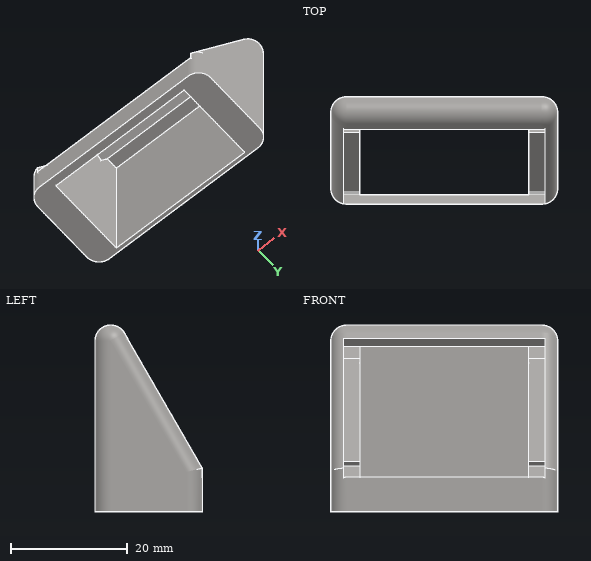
import cadquery as cq
import math

width = 39.0
depth = 18.5
height = 32.1
edge_radius = 2.73
slope_angle = 60.0

cavity_width = 28.95
front_wall = 1.65
back_wall = 0.8

window_width = 34.6
window_bottom = -1.35
window_top = 25.65
rail_bottom = 2.0
rail_top = 22.42
rail_depth = 1.3
window_depth = 2.8
outside_clearance = 7.8

slope = math.radians(slope_angle)
ridge_y = depth - edge_radius
ridge_z = height - edge_radius
tangent_y = ridge_y - edge_radius * math.sin(slope)
tangent_z = ridge_z + edge_radius * math.cos(slope)
front_height = tangent_z - tangent_y * math.tan(slope)
apex_z = front_height + depth * math.tan(slope)


def slope_point(along, inward):
    """Return (y, z) for a distance up the slope and a depth below it."""
    y = along * math.cos(slope) + inward * math.sin(slope)
    z = front_height + along * math.sin(slope) - inward * math.cos(slope)
    return y, z


def side_prism(points, prism_width):
    """Extrude a (y, z) outline symmetrically across the width."""
    return cq.Workplane("YZ").polyline(points).close().extrude(prism_width / 2, both=True)


def window_block(bottom, top, floor_depth):
    """Box aligned with the sloping face and reaching outside the part."""
    corners = [
        slope_point(bottom, -outside_clearance),
        slope_point(top, -outside_clearance),
        slope_point(top, floor_depth),
        slope_point(bottom, floor_depth),
    ]
    return side_prism(corners, window_width)


def make_body():
    """Wedge with rounded side edges and a rounded ridge."""
    outline = [(0, 0), (depth, 0), (depth, apex_z), (0, front_height)]
    wedge = side_prism(outline, width)
    side_edges = wedge.faces("<X or >X").edges("not(<Z)")
    ridge_edge = wedge.edges(">Z")
    return wedge.newObject(side_edges.vals() + ridge_edge.vals()).fillet(edge_radius)


def make_cavity():
    """Interior with a level ceiling behind the upper plane of the window."""
    back_y = depth - back_wall
    ceiling_y, ceiling_z = slope_point(window_top, window_depth)
    front_corner_z = slope_point(window_bottom, 0)[1]
    front_z = front_corner_z - front_wall / math.tan(slope)
    return side_prism(
        [
            (front_wall, 0),
            (back_y, 0),
            (back_y, ceiling_z),
            (ceiling_y, ceiling_z),
            slope_point(window_top, -outside_clearance),
            slope_point(window_bottom, -outside_clearance),
            (front_wall, front_z),
        ],
        cavity_width,
    )


def make_window():
    """Shallow seat along the rails with deeper pockets at both ends."""
    return (
        window_block(window_bottom, window_top, rail_depth)
        .union(window_block(window_bottom, rail_bottom, window_depth))
        .union(window_block(rail_top, window_top, window_depth))
    )


result = make_body().cut(make_cavity()).cut(make_window())